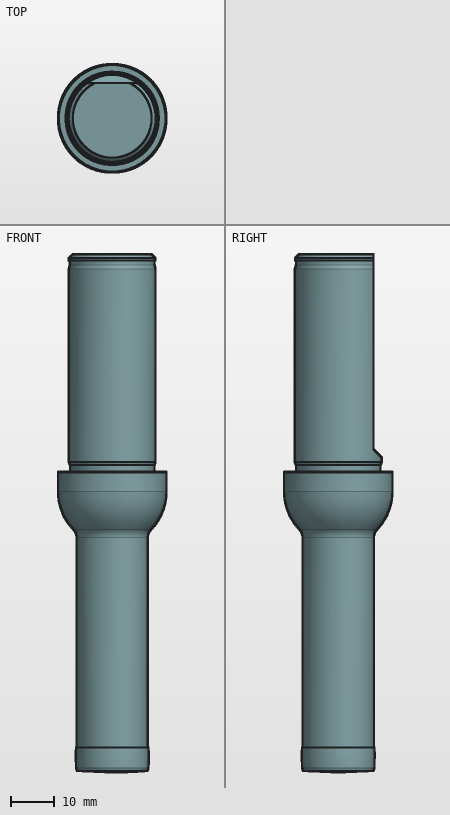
import cadquery as cq
import math

total_height = 119.0
tip_top = 5.7
sphere_center_z = 64.5
collar_top = 69.1

shank_radius = 20.0 / 2
relief_radius = 19.5 / 2
shank_chamfer = 1.0
band_bottom = 117.6
groove_taper_start = 116.5
groove_taper_end = 115.5
undercut_taper_start = 71.3
undercut_taper_end = 70.6
flat_y = 8.1
flat_bottom = 74.3

recess_radius = 10.7
recess_depth = 0.2

collar_radius = 25.0 / 2
collar_chamfer = 0.2
shaft_radius = 16.4 / 2
neck_fillet = 2.6

tip_end_radius = 16.7 / 2
tip_belly_radius = 16.9 / 2
tip_barrel_bottom = 1.1
tip_rim_radius = 8.1
tip_rim_z = 0.4


def make_holder():
    """Shank, collar with spherical underside, and lower shaft, turned as one piece."""
    fillet_center_r = shaft_radius + neck_fillet
    center_distance = collar_radius + neck_fillet
    fillet_drop = math.sqrt(center_distance**2 - fillet_center_r**2)
    neck_z = sphere_center_z - fillet_drop
    neck_angle = math.atan2(fillet_drop, fillet_center_r)

    def on_sphere(angle):
        return (collar_radius * math.cos(angle), sphere_center_z - collar_radius * math.sin(angle))

    def on_fillet(angle):
        return (fillet_center_r - neck_fillet * math.cos(angle), neck_z + neck_fillet * math.sin(angle))

    recess_floor = collar_top - recess_depth
    holder = (
        cq.Workplane("XZ")
        .moveTo(0, tip_top)
        .lineTo(shaft_radius, tip_top)
        .lineTo(shaft_radius, neck_z)
        .threePointArc(on_fillet(neck_angle / 2), on_fillet(neck_angle))
        .threePointArc(on_sphere(neck_angle / 2), on_sphere(0))
        .lineTo(collar_radius, collar_top - collar_chamfer)
        .lineTo(collar_radius - collar_chamfer, collar_top)
        .lineTo(recess_radius, collar_top)
        .lineTo(recess_radius - recess_depth, recess_floor)
        .lineTo(relief_radius, recess_floor)
        .lineTo(relief_radius, undercut_taper_end)
        .lineTo(shank_radius, undercut_taper_start)
        .lineTo(shank_radius, groove_taper_end)
        .lineTo(relief_radius, groove_taper_start)
        .lineTo(relief_radius, band_bottom)
        .lineTo(shank_radius, band_bottom)
        .lineTo(shank_radius, total_height - shank_chamfer)
        .lineTo(shank_radius - shank_chamfer, total_height)
        .lineTo(0, total_height)
        .close()
        .revolve(360, (0, 0, 0), (0, 1, 0))
    )
    return holder.cut(make_flat_cutter())


def make_flat_cutter():
    """Material removed beside the flat, which runs out to the shank at 45 degrees."""
    outer_y = collar_radius
    runout_bottom = flat_bottom - (outer_y - flat_y)
    return (
        cq.Workplane("YZ")
        .moveTo(flat_y, flat_bottom)
        .lineTo(outer_y, runout_bottom)
        .lineTo(outer_y, total_height)
        .lineTo(flat_y, total_height)
        .close()
        .extrude(shank_radius, both=True)
    )


def make_tip():
    """Slightly barrelled tip with a bevelled rim and a shallow domed end."""
    belly_z = (tip_barrel_bottom + tip_top) / 2
    dome_radius = (tip_rim_radius**2 + tip_rim_z**2) / (2 * tip_rim_z)
    dome_mid_r = tip_rim_radius / 2
    dome_midpoint = (dome_mid_r, dome_radius - math.sqrt(dome_radius**2 - dome_mid_r**2))
    return (
        cq.Workplane("XZ")
        .moveTo(0, 0)
        .threePointArc(dome_midpoint, (tip_rim_radius, tip_rim_z))
        .lineTo(tip_end_radius, tip_barrel_bottom)
        .threePointArc((tip_belly_radius, belly_z), (tip_end_radius, tip_top))
        .lineTo(0, tip_top)
        .close()
        .revolve(360, (0, 0, 0), (0, 1, 0))
    )


holder = make_holder()
tip = make_tip()

result = cq.Compound.makeCompound([holder.val(), tip.val()])